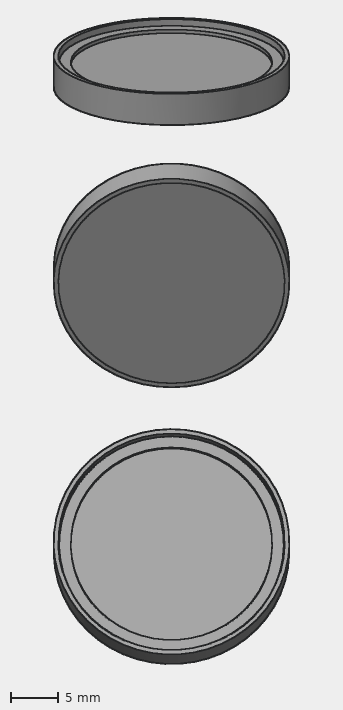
import cadquery as cq

housing_diameter = 25.0
housing_height = 3.5
bore_diameter = 24.0
ring_clearance = 0.1
ring_inner_diameter = 21.35
ring_recess = 0.7
ring_thickness = 0.4

ring_outer_diameter = bore_diameter - 2 * ring_clearance
disc_thickness = housing_height - ring_recess - ring_thickness


def make_tube(outer_diameter, inner_diameter, height, base_z):
    """Plain round tube about the Z axis, standing on base_z."""
    return (
        cq.Workplane("XY", origin=(0, 0, base_z))
        .circle(outer_diameter / 2)
        .circle(inner_diameter / 2)
        .extrude(height)
    )


def make_housing():
    """Outer cell with a straight bore right through it."""
    return make_tube(housing_diameter, bore_diameter, housing_height, 0)


def make_disc():
    """Flat disc that fills the bore, flush with the housing's underside."""
    return cq.Workplane("XY").circle(bore_diameter / 2).extrude(disc_thickness)


def make_retaining_ring():
    """Thin ring that lies on the disc, clear of the bore wall."""
    return make_tube(ring_outer_diameter, ring_inner_diameter, ring_thickness, disc_thickness)


housing = make_housing()
disc = make_disc()
retaining_ring = make_retaining_ring()

result = cq.Compound.makeCompound([housing.val(), disc.val(), retaining_ring.val()])